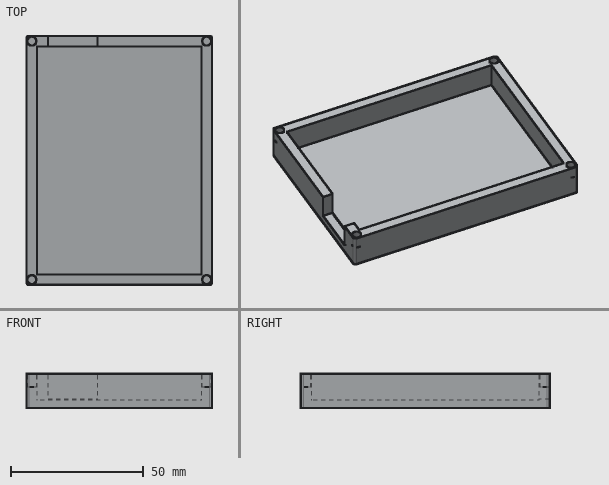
import cadquery as cq

length_x = 70.0
length_y = 94.0
height = 13.0
corner_radius = 1.0

wall = 4.0
floor_thickness = 3.0

notch_start = 8.2
notch_width = 18.5
sill_height = 3.5

hole_diameter = 3.4
hole_depth = 5.0
hole_inset = 2.0

cavity_x = length_x - 2 * wall
cavity_y = length_y - 2 * wall
back_face = length_y / 2


def make_body():
    body = cq.Workplane("XY").box(length_x, length_y, height, centered=(True, True, False))
    return body.edges("|Z").fillet(corner_radius)


def make_cavity():
    return (
        cq.Workplane("XY", origin=(0, 0, floor_thickness))
        .box(cavity_x, cavity_y, height - floor_thickness, centered=(True, True, False))
    )


def make_notch():
    center_x = -length_x / 2 + notch_start + notch_width / 2
    return (
        cq.Workplane("XY", origin=(center_x, back_face - wall / 2, sill_height))
        .box(notch_width, wall, height - sill_height, centered=(True, True, False))
    )


def make_corner_holes():
    return (
        cq.Workplane("XY", origin=(0, 0, height - hole_depth))
        .rect(length_x - 2 * hole_inset, length_y - 2 * hole_inset, forConstruction=True)
        .vertices()
        .circle(hole_diameter / 2)
        .extrude(hole_depth)
    )


result = make_body().cut(make_cavity()).cut(make_notch()).cut(make_corner_holes())